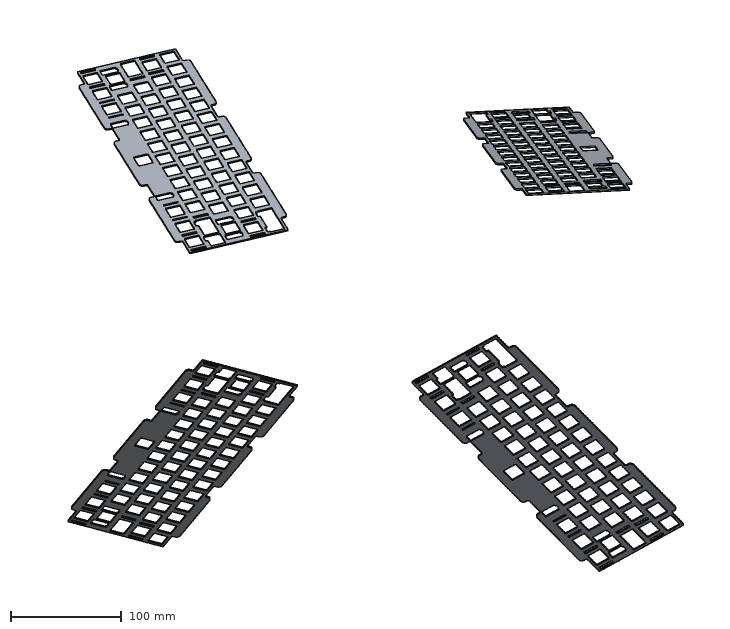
import cadquery as cq

UNIT = 19.05
COLUMNS = 15
ROWS = 5
THICKNESS = 1.5
PLATE_LENGTH = COLUMNS * UNIT
PLATE_DEPTH = ROWS * UNIT
PLATE_CORNER_RADIUS = 0.5

TAB_COUNT = 3
TAB_GAP = UNIT
TAB_END_INSET = UNIT
TAB_PROJECTION = 6.5
TAB_CORNER_RADIUS = 3.25
TAB_ROOT_RADIUS = 1.5
TAB_LENGTH = (PLATE_LENGTH - 2 * TAB_END_INSET - (TAB_COUNT - 1) * TAB_GAP) / TAB_COUNT

SWITCH_SIZE = 14.0
CUTOUT_CORNER_RADIUS = 0.5
SLOT_OFFSET = 11.6
SLOT_WIDTH = 2.5
NARROW_SLOT_WIDTH = 1.5

STABILIZER_WIDTH = 7.0
STABILIZER_BACK = 6.0
STABILIZER_FRONT = 9.0
STABILIZER_NOTCH_WIDTH = 4.0
STABILIZER_NOTCH_BACK = 7.0
STABILIZER_OFFSET = 11.938
SPACEBAR_STABILIZER_OFFSET = 3 * UNIT

NUMBER_ROW, TAB_ROW, HOME_ROW, SHIFT_ROW, BOTTOM_ROW = range(ROWS)
BACKSPACE = 14.0
BACKSPACE_HALVES = (13.5, 14.5)
TAB_KEY = 0.75
BACKSLASH = 14.25
CAPS_LOCK = 0.875
STEPPED_CAPS_LOCK = 0.5
ENTER = 13.875
LEFT_SHIFT = 1.125
RIGHT_SHIFT = 13.625
SHORT_RIGHT_SHIFT = 13.125
FUNCTION_KEY = 14.5
SPACEBAR = COLUMNS / 2
LEFT_MODIFIERS = (0.75, 2.0, 3.25)

NUMBER_RUN = (0.5, 13)
LETTER_RUN = (2.0, 12)
HOME_RUN = (2.25, 11)
SHIFT_RUN = (2.75, 10)

POSITION_TOLERANCE = 0.01


def key_x(column):
    return column * UNIT - PLATE_LENGTH / 2


def key_y(row):
    return PLATE_DEPTH / 2 - (row + 0.5) * UNIT


def rounded_block(left, right, front, back, radius=CUTOUT_CORNER_RADIUS):
    """A full-thickness rectangular block with rounded upright edges."""
    block = cq.Workplane("XY").box(right - left, back - front, THICKNESS)
    block = block.edges("|Z").fillet(radius)
    return block.translate(((left + right) / 2, (front + back) / 2, THICKNESS / 2)).val()


def switch(row, first, last=None):
    """A switch opening, stretched to reach every position from first to last."""
    last = first if last is None else last
    half = SWITCH_SIZE / 2
    y = key_y(row)
    return rounded_block(key_x(first) - half, key_x(last) + half, y - half, y + half)


def slot(row, column, side, width=SLOT_WIDTH):
    """A relief slot to the left (side -1) or right (side 1) of a key."""
    x = key_x(column) + side * SLOT_OFFSET
    y = key_y(row)
    half = SWITCH_SIZE / 2
    return rounded_block(x - width / 2, x + width / 2, y - half, y + half)


def stabilizers(row, column, offset=STABILIZER_OFFSET):
    """The pair of stabilizer openings either side of a long key."""
    y = key_y(row)
    half = STABILIZER_WIDTH / 2
    notch = STABILIZER_NOTCH_WIDTH / 2
    cutters = []
    for side in (-1, 1):
        x = key_x(column) + side * offset
        cutters.append(rounded_block(x - half, x + half, y - STABILIZER_FRONT, y + STABILIZER_BACK))
        cutters.append(rounded_block(x - notch, x + notch, y, y + STABILIZER_NOTCH_BACK))
    return cutters


def key_run(row, first, count):
    """Switch openings of a run of keys one unit apart."""
    return [switch(row, first + i) for i in range(count)]


def number_row():
    backspace = switch(NUMBER_ROW, *BACKSPACE_HALVES)
    return key_run(NUMBER_ROW, *NUMBER_RUN) + [backspace] + stabilizers(NUMBER_ROW, BACKSPACE)


def tab_row():
    cutters = key_run(TAB_ROW, *LETTER_RUN)
    for column in (TAB_KEY, BACKSLASH):
        cutters.append(switch(TAB_ROW, column))
        cutters += [slot(TAB_ROW, column, side) for side in (-1, 1)]
    return cutters


def home_row():
    cutters = key_run(HOME_ROW, *HOME_RUN)
    cutters.append(switch(HOME_ROW, STEPPED_CAPS_LOCK, CAPS_LOCK))
    cutters.append(slot(HOME_ROW, CAPS_LOCK, 1))
    cutters.append(switch(HOME_ROW, ENTER))
    return cutters + stabilizers(HOME_ROW, ENTER)


def shift_row():
    cutters = key_run(SHIFT_ROW, *SHIFT_RUN)
    cutters.append(switch(SHIFT_ROW, LEFT_SHIFT))
    cutters += stabilizers(SHIFT_ROW, LEFT_SHIFT)
    cutters.append(slot(SHIFT_ROW, SHORT_RIGHT_SHIFT, -1))
    cutters.append(switch(SHIFT_ROW, SHORT_RIGHT_SHIFT, RIGHT_SHIFT))
    cutters.append(switch(SHIFT_ROW, FUNCTION_KEY))
    return cutters + stabilizers(SHIFT_ROW, RIGHT_SHIFT)


def bottom_row():
    cutters = [switch(BOTTOM_ROW, SPACEBAR)]
    cutters += stabilizers(BOTTOM_ROW, SPACEBAR, SPACEBAR_STABILIZER_OFFSET)
    outer, _, inner = LEFT_MODIFIERS
    for modifier in LEFT_MODIFIERS:
        cutters += [switch(BOTTOM_ROW, c) for c in (modifier, COLUMNS - modifier)]
    for side in (-1, 1):
        for column in (outer, COLUMNS - outer):
            cutters.append(slot(BOTTOM_ROW, column, side))
        for column in (inner, COLUMNS - inner):
            cutters.append(slot(BOTTOM_ROW, column, side, NARROW_SLOT_WIDTH))
    return cutters


def is_tab_root(edge):
    """True for the inward corners where a tab meets the plate's long edges."""
    middle = edge.Center()
    on_long_edge = abs(abs(middle.y) - PLATE_DEPTH / 2) < POSITION_TOLERANCE
    return on_long_edge and abs(middle.x) < PLATE_LENGTH / 2 - TAB_END_INSET / 2


def plate_blank():
    """The plate outline with its tabs, before any openings are cut."""
    half_length = PLATE_LENGTH / 2
    half_depth = PLATE_DEPTH / 2
    tab_reach = half_depth + TAB_PROJECTION
    blank = rounded_block(-half_length, half_length, -half_depth, half_depth, PLATE_CORNER_RADIUS)
    blank = cq.Workplane(blank)
    for i in range(TAB_COUNT):
        left = -half_length + TAB_END_INSET + i * (TAB_LENGTH + TAB_GAP)
        tab = rounded_block(left, left + TAB_LENGTH, -tab_reach, tab_reach, TAB_CORNER_RADIUS)
        blank = blank.union(cq.Workplane(tab))
    return blank.edges("|Z").filter(is_tab_root).fillet(TAB_ROOT_RADIUS)


openings = number_row() + tab_row() + home_row() + shift_row() + bottom_row()
result = cq.Workplane(plate_blank().val().cut(*openings)).clean()